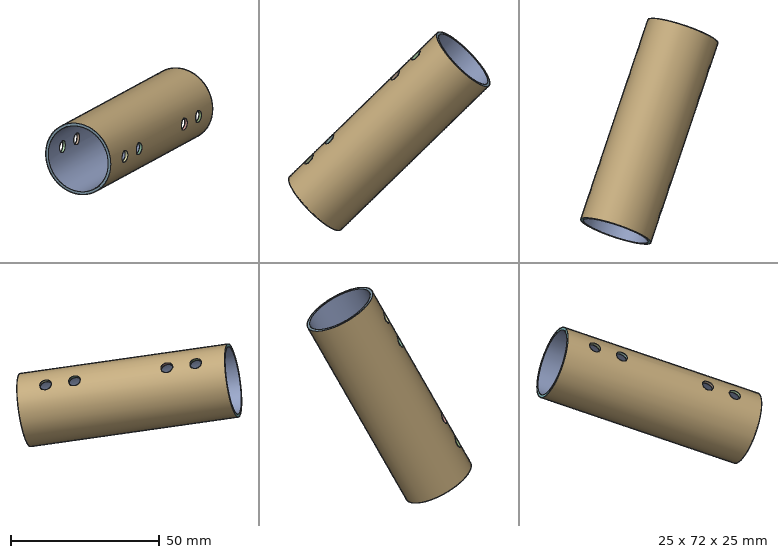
import cadquery as cq

length = 72.0
outer_diameter = 25.0
wall = 1.0
inner_diameter = outer_diameter - 2 * wall

hole_diameter = 4.0
end_distance = 10.0
hole_spacing = 10.0


def make_tube():
    """Plain round tube centred on the origin."""
    return (
        cq.Workplane("XZ", origin=(0, length / 2, 0))
        .circle(outer_diameter / 2)
        .circle(inner_diameter / 2)
        .extrude(length)
    )


def make_cross_holes():
    """Pins along X that pierce both walls of the tube."""
    outer_place = length / 2 - end_distance
    inner_place = outer_place - hole_spacing
    places = [(y, 0) for y in (-outer_place, -inner_place, inner_place, outer_place)]
    return (
        cq.Workplane("YZ")
        .pushPoints(places)
        .circle(hole_diameter / 2)
        .extrude(outer_diameter, both=True)
    )


result = make_tube().cut(make_cross_holes())